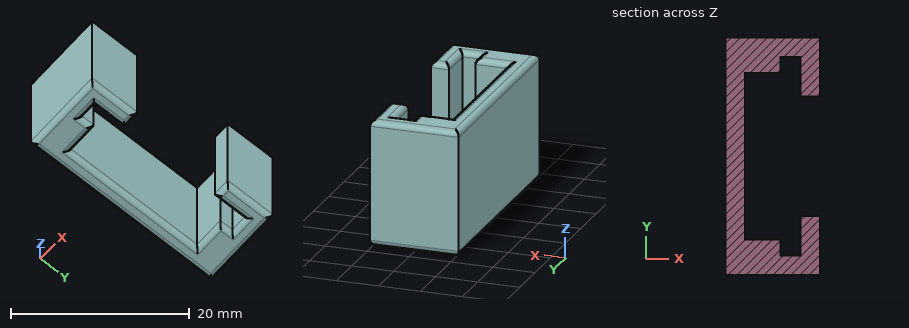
import cadquery as cq

depth = 10.6
length = 26.6
height = 15.0

wall = 2.2
shoulder_depth = 6.2
shoulder_width = 4.0
lip_width = 6.65
edge_radius = 0.7

back = -depth / 2
front = depth / 2
half_length = length / 2

half_outline = [
    (back, half_length),
    (front, half_length),
    (front, half_length - lip_width),
    (front - wall, half_length - lip_width),
    (front - wall, half_length - wall),
    (back + shoulder_depth, half_length - wall),
    (back + shoulder_depth, half_length - shoulder_width),
    (back + wall, half_length - shoulder_width),
]

mirrored_outline = [(x, -y) for x, y in reversed(half_outline)]
outline = half_outline + mirrored_outline

clip = cq.Workplane("XY").polyline(outline).close().extrude(height)

result = clip.faces("|Z").edges().fillet(edge_radius)